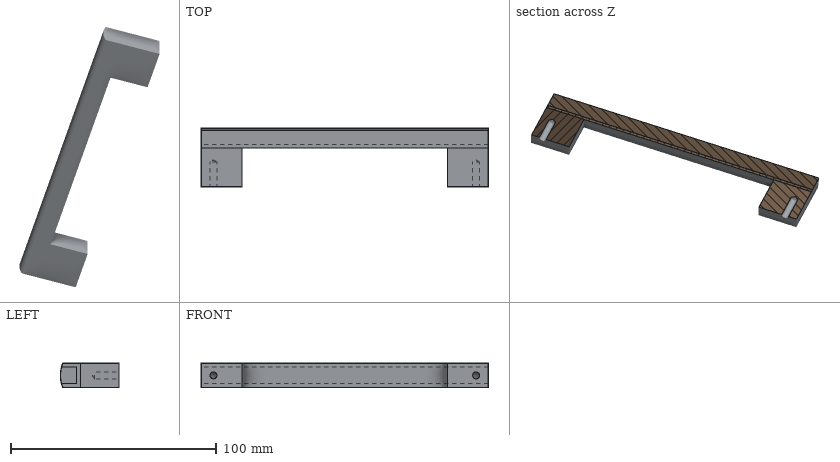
import cadquery as cq
import math

LENGTH = 140.0
DEPTH = 28.7
HEIGHT = 12.0

FOOT_LENGTH = 20.0
FOOT_DEPTH = 18.9

HOLE_DIAMETER = 3.4
HOLE_DEPTH = 12.0
HOLE_END_INSET = 6.0
DRILL_POINT_ANGLE = 118.0

CROWN_RISE = 1.3
STRIP_HEIGHT = 8.0
STRIP_DEPTH = 8.0

HALF_LENGTH = LENGTH / 2
HALF_HEIGHT = HEIGHT / 2
SHOULDER_Y = DEPTH - CROWN_RISE


def make_crowned_bar():
    """Full-length bar with a shallow arc along its outer face."""
    return (
        cq.Workplane("YZ", origin=(-HALF_LENGTH, 0, 0))
        .moveTo(FOOT_DEPTH, -HALF_HEIGHT)
        .lineTo(SHOULDER_Y, -HALF_HEIGHT)
        .threePointArc((DEPTH, 0), (SHOULDER_Y, HALF_HEIGHT))
        .lineTo(FOOT_DEPTH, HALF_HEIGHT)
        .close()
        .extrude(LENGTH)
    )


def make_strip_envelope():
    """Rectangular channel that the strip occupies, up to the crown peak."""
    return cq.Workplane("XY").box(LENGTH, STRIP_DEPTH, STRIP_HEIGHT).translate(
        (0, DEPTH - STRIP_DEPTH / 2, 0)
    )


def make_rail():
    """Crowned bar with an open channel for the strip."""
    return make_crowned_bar().cut(make_strip_envelope())


def make_strip():
    """Strip filling the channel, flush with the crowned face."""
    return make_crowned_bar().intersect(make_strip_envelope())


def make_drilled_hole(hole_x):
    """Blind hole with a conical drill point, entering from Y = 0."""
    radius = HOLE_DIAMETER / 2
    point_depth = radius / math.tan(math.radians(DRILL_POINT_ANGLE / 2))
    return (
        cq.Workplane("XY")
        .polyline([(0, 0), (radius, 0), (radius, HOLE_DEPTH), (0, HOLE_DEPTH + point_depth)])
        .close()
        .revolve(360, (0, 0), (0, 1))
        .translate((hole_x, 0, 0))
    )


def make_foot(side):
    """Foot flush with one rail end; side is -1 or +1 along X."""
    foot_x = side * (HALF_LENGTH - FOOT_LENGTH / 2)
    hole_x = side * (HALF_LENGTH - HOLE_END_INSET)
    block = cq.Workplane("XY").box(FOOT_LENGTH, FOOT_DEPTH, HEIGHT)
    block = block.translate((foot_x, FOOT_DEPTH / 2, 0))
    return block.cut(make_drilled_hole(hole_x))


rail = make_rail()
strip = make_strip()
feet = [make_foot(side) for side in (-1, 1)]

result = cq.Compound.makeCompound([rail.val(), strip.val(), *[foot.val() for foot in feet]])